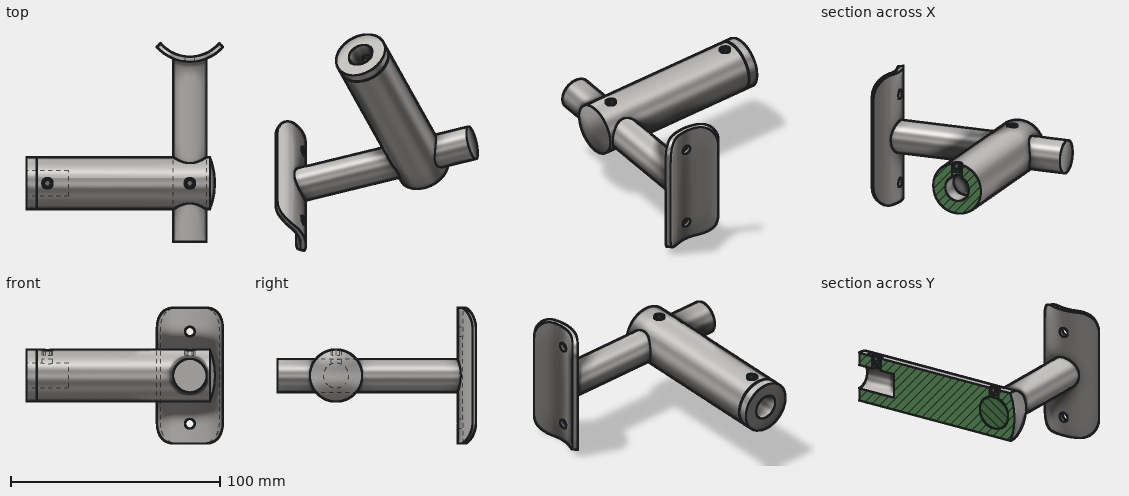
import cadquery as cq
import math


housing_diameter = 25.0
housing_length = 90.0
dome_height = 2.5
bar_to_open_end = 78.0
open_end_x = -bar_to_open_end
dome_tip_x = open_end_x + housing_length
bore_diameter = 12.0
bore_depth = 20.0
groove_width = 0.3
groove_depth = 0.1
groove_start = 4.7

bar_diameter = 16.0
bar_front_y = -28.0
saddle_bottom_y = 58.0

saddle_outer_radius = 21.15
saddle_thickness = 2.5
saddle_inner_radius = saddle_outer_radius - saddle_thickness
saddle_half_width = 15.82
saddle_height = 65.0
saddle_end_angle = 45.0
saddle_corner_radius = 10.0
saddle_hole_diameter = 4.5
saddle_hole_spacing = 44.0
saddle_hole_middle_z = -1.0
saddle_axis_y = saddle_bottom_y + saddle_outer_radius

screw_diameter = 5.0
screw_socket_flats = 3.2
screw_socket_depth = 2.5
screw_recess = 0.5
screw_to_open_end = 10.0
screw_positions_x = (open_end_x + screw_to_open_end, 0.0)
screw_bottom_z = bar_diameter / 2
screw_top_z = housing_diameter / 2 - screw_recess


def y_cylinder(diameter, start_y, end_y):
    """Cylinder along the Y axis."""
    return cq.Workplane("XZ", origin=(0, start_y, 0)).circle(diameter / 2).extrude(start_y - end_y)


def make_housing():
    radius = housing_diameter / 2
    dome_start_x = dome_tip_x - dome_height
    dome_radius = (radius ** 2 + dome_height ** 2) / (2 * dome_height)
    dome_mid_r = radius / 2
    dome_mid_x = dome_tip_x - dome_radius + math.sqrt(dome_radius ** 2 - dome_mid_r ** 2)
    groove_x = open_end_x + groove_start
    bore_end_x = open_end_x + bore_depth

    housing = (
        cq.Workplane("XY")
        .moveTo(open_end_x, bore_diameter / 2)
        .lineTo(open_end_x, radius)
        .lineTo(groove_x, radius)
        .lineTo(groove_x, radius - groove_depth)
        .lineTo(groove_x + groove_width, radius - groove_depth)
        .lineTo(groove_x + groove_width, radius)
        .lineTo(dome_start_x, radius)
        .threePointArc((dome_mid_x, dome_mid_r), (dome_tip_x, 0))
        .lineTo(bore_end_x, 0)
        .lineTo(bore_end_x, bore_diameter / 2)
        .close()
        .revolve(360, (0, 0, 0), (1, 0, 0))
    )

    housing = housing.cut(y_cylinder(bar_diameter, -housing_diameter, housing_diameter))

    for x in screw_positions_x:
        screw_hole = cq.Workplane("XY", origin=(x, 0, 0)).circle(screw_diameter / 2).extrude(housing_diameter)
        housing = housing.cut(screw_hole)
    return housing.solids()


def make_saddle():
    outer_tip_y = saddle_axis_y - math.sqrt(saddle_outer_radius ** 2 - saddle_half_width ** 2)
    slope_x = -math.sin(math.radians(saddle_end_angle))
    slope_y = math.cos(math.radians(saddle_end_angle))
    tip_from_axis_y = outer_tip_y - saddle_axis_y
    along = saddle_half_width * slope_x + tip_from_axis_y * slope_y
    side_length = -along - math.sqrt(along ** 2 - saddle_outer_radius ** 2 + saddle_inner_radius ** 2)
    inner_tip_x = saddle_half_width + side_length * slope_x
    inner_tip_y = outer_tip_y + side_length * slope_y

    plate = (
        cq.Workplane("XY", origin=(0, 0, -saddle_height / 2))
        .moveTo(-saddle_half_width, outer_tip_y)
        .threePointArc((0, saddle_bottom_y), (saddle_half_width, outer_tip_y))
        .lineTo(inner_tip_x, inner_tip_y)
        .threePointArc((0, saddle_bottom_y + saddle_thickness), (-inner_tip_x, inner_tip_y))
        .close()
        .extrude(saddle_height)
    )

    corner_x = (saddle_half_width + inner_tip_x) / 2
    corner_y = (outer_tip_y + inner_tip_y) / 2
    for side in (-1, 1):
        for end in (-1, 1):
            corner = cq.selectors.NearestToPointSelector((side * corner_x, corner_y, end * saddle_height / 2))
            plate = plate.edges(corner).fillet(saddle_corner_radius)

    holes = (
        cq.Workplane("XZ", origin=(0, saddle_bottom_y, saddle_hole_middle_z))
        .pushPoints([(0, -saddle_hole_spacing / 2), (0, saddle_hole_spacing / 2)])
        .circle(saddle_hole_diameter / 2)
        .extrude(saddle_outer_radius, both=True)
    )
    return plate.cut(holes)


def make_bar():
    """Round bar with the saddle plate fixed on its +Y end."""
    bar = y_cylinder(bar_diameter, bar_front_y, saddle_axis_y)
    saddle_cylinder = (
        cq.Workplane("XY", origin=(0, saddle_axis_y, 0))
        .circle(saddle_outer_radius)
        .extrude(bar_diameter, both=True)
    )
    return bar.cut(saddle_cylinder).union(make_saddle()).solids()


def make_set_screw(x):
    screw = (
        cq.Workplane("XY", origin=(x, 0, screw_bottom_z))
        .circle(screw_diameter / 2)
        .extrude(screw_top_z - screw_bottom_z)
    )
    socket_corners = screw_socket_flats / math.cos(math.radians(30))
    socket = (
        cq.Workplane("XY", origin=(x, 0, screw_top_z))
        .polygon(6, socket_corners)
        .extrude(-screw_socket_depth)
    )
    return screw.cut(socket).solids()


housing = make_housing()
bar = make_bar()
set_screws = [make_set_screw(x) for x in screw_positions_x]

result = cq.Compound.makeCompound([housing.val(), bar.val(), *[screw.val() for screw in set_screws]])